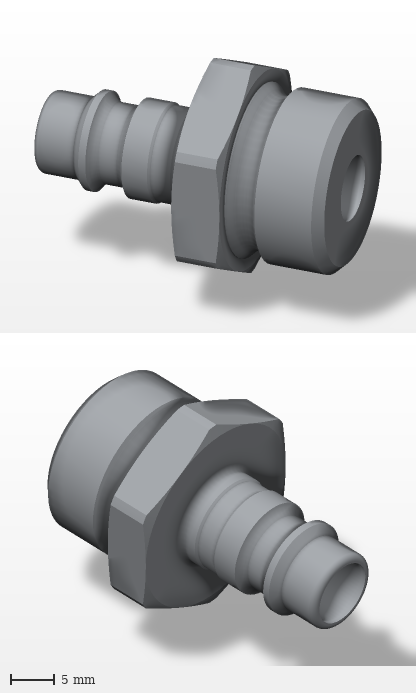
import cadquery as cq
import math

total_length = 38.0
bore_radius = 7.85 / 2

tip_radius = 9.9 / 2
tip_rounding = 0.75
stem_radius = 12.0 / 2
ridge_cone_start = 5.05
ridge_start = ridge_cone_start + stem_radius - tip_radius
ridge_end = 7.0
neck_radius = 9.75 / 2
neck_start = 8.17
neck_end = 10.45
collar_start = 11.48
neck_arc_radius = 1.82

band_radius = 11.5 / 2
band_start = 14.65
band_end = 17.8
band_edge_length = 0.35

hex_start = 20.0
hex_end = 26.0
hex_sides = 6
across_flats = 24.0
corner_diameter = 27.05
hex_chamfer_length = 0.45
root_fillet = 0.72

thread_radius = 20.95 / 2
thread_start = 29.75
thread_chamfer = 1.18
undercut_radius = 9.2
undercut_arc_radius = 1.6
undercut_hex_slope = math.radians(45)
undercut_thread_slope = math.radians(60)


def turned(outline):
    """Revolve a closed (x, radius) outline about the X axis."""
    return outline.close().revolve(360, (0, 0, 0), (1, 0, 0))


def make_stem():
    outline = (
        cq.Workplane("XY")
        .moveTo(0, 0)
        .lineTo(0, tip_radius - tip_rounding)
        .radiusArc((tip_rounding, tip_radius), tip_rounding)
        .lineTo(ridge_cone_start, tip_radius)
        .lineTo(ridge_start, stem_radius)
        .lineTo(ridge_end, stem_radius)
        .radiusArc((neck_start, neck_radius), -neck_arc_radius)
        .lineTo(neck_end, neck_radius)
        .radiusArc((collar_start, stem_radius), -neck_arc_radius)
        .lineTo(band_start, stem_radius)
        .lineTo(band_start + band_edge_length, band_radius)
        .lineTo(band_end - band_edge_length, band_radius)
        .lineTo(band_end, stem_radius)
        .lineTo(hex_start - root_fillet, stem_radius)
        .radiusArc((hex_start, stem_radius + root_fillet), -root_fillet)
        .lineTo(hex_start, 0)
    )
    return turned(outline)


def make_hexagon():
    corner_radius = corner_diameter / 2
    flat_radius = across_flats / 2
    half_sector = 180 / hex_sides
    prism = (
        cq.Workplane("YZ", origin=(hex_start, 0, 0))
        .polygon(hex_sides, across_flats / math.cos(math.radians(half_sector)))
        .extrude(hex_end - hex_start)
        .rotate((0, 0, 0), (1, 0, 0), half_sector)
    )
    envelope = (
        cq.Workplane("XY")
        .moveTo(hex_start, 0)
        .lineTo(hex_start, flat_radius)
        .lineTo(hex_start + hex_chamfer_length, corner_radius)
        .lineTo(hex_end - hex_chamfer_length, corner_radius)
        .lineTo(hex_end, flat_radius)
        .lineTo(hex_end, 0)
    )
    return prism.intersect(turned(envelope))


def make_threaded_end():
    def arc_rise(slope):
        return undercut_arc_radius * (1 - math.cos(slope))

    def arc_run(slope):
        return undercut_arc_radius * math.sin(slope)

    hex_arc_radius = undercut_radius + arc_rise(undercut_hex_slope)
    thread_arc_radius = undercut_radius + arc_rise(undercut_thread_slope)
    thread_flank_run = (thread_radius - thread_arc_radius) / math.tan(undercut_thread_slope)
    hex_flank_run = (thread_radius - hex_arc_radius) / math.tan(undercut_hex_slope)
    thread_arc_x = thread_start - thread_flank_run
    floor_x = thread_arc_x - arc_run(undercut_thread_slope)
    hex_arc_x = floor_x - arc_run(undercut_hex_slope)

    outline = (
        cq.Workplane("XY")
        .moveTo(hex_end, 0)
        .lineTo(hex_end, thread_radius)
        .lineTo(hex_arc_x - hex_flank_run, thread_radius)
        .lineTo(hex_arc_x, hex_arc_radius)
        .threePointArc((floor_x, undercut_radius), (thread_arc_x, thread_arc_radius))
        .lineTo(thread_start, thread_radius)
        .lineTo(total_length - thread_chamfer, thread_radius)
        .lineTo(total_length, thread_radius - thread_chamfer)
        .lineTo(total_length, 0)
    )
    return turned(outline)


bore = cq.Workplane("YZ").circle(bore_radius).extrude(total_length)
result = make_stem().union(make_hexagon()).union(make_threaded_end()).cut(bore)